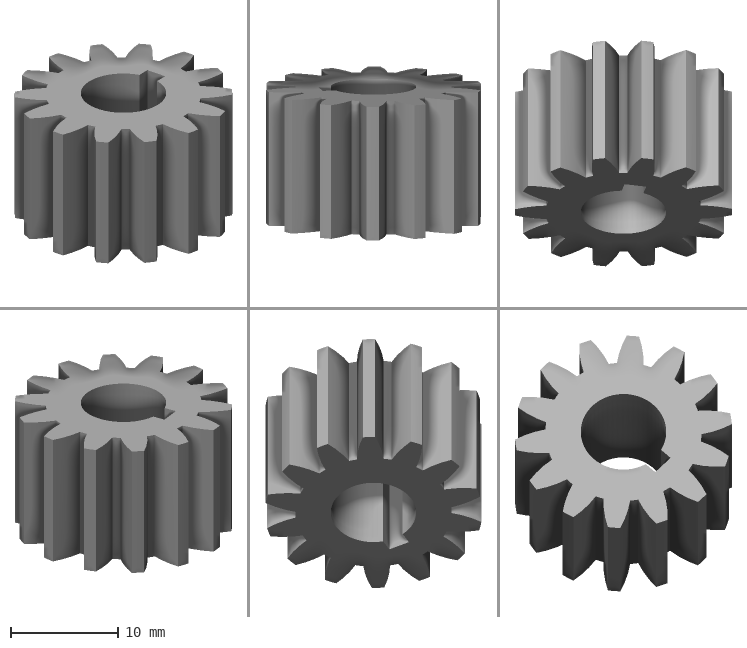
import cadquery as cq
import math

TOOTH_COUNT = 14
TIP_RADIUS = 10.15
ROOT_RADIUS = 7.3
GEAR_HEIGHT = 12.7

ROOT_WIDTH = 2.5
MIDDLE_WIDTH = 2.1
TIP_WIDTH = 1.15
MIDDLE_RADIUS = 8.72

BORE_DIAMETER = 7.99
KEYWAY_WIDTH = 2.07
KEYWAY_TOP = 5.08

TOOTH_PITCH = 2 * math.pi / TOOTH_COUNT


def tooth_point(radius, offset, tooth_angle):
    """Point at a radius, set sideways from the centre line of a tooth."""
    angle = tooth_angle + math.asin(offset / radius)
    return (radius * math.cos(angle), radius * math.sin(angle))


def gear_blank():
    """Toothed body: arc flanks, with tips and gaps on circles about the axis, first tooth on +Y."""
    first_angle = math.pi / 2
    outline = cq.Workplane("XY").moveTo(*tooth_point(ROOT_RADIUS, -ROOT_WIDTH / 2, first_angle))
    for index in range(TOOTH_COUNT):
        angle = first_angle + index * TOOTH_PITCH
        outline = outline.threePointArc(
            tooth_point(MIDDLE_RADIUS, -MIDDLE_WIDTH / 2, angle),
            tooth_point(TIP_RADIUS, -TIP_WIDTH / 2, angle),
        )
        outline = outline.threePointArc(
            tooth_point(TIP_RADIUS, 0, angle),
            tooth_point(TIP_RADIUS, TIP_WIDTH / 2, angle),
        )
        outline = outline.threePointArc(
            tooth_point(MIDDLE_RADIUS, MIDDLE_WIDTH / 2, angle),
            tooth_point(ROOT_RADIUS, ROOT_WIDTH / 2, angle),
        )
        outline = outline.threePointArc(
            tooth_point(ROOT_RADIUS, 0, angle + TOOTH_PITCH / 2),
            tooth_point(ROOT_RADIUS, -ROOT_WIDTH / 2, angle + TOOTH_PITCH),
        )
    return outline.close().extrude(GEAR_HEIGHT)


def keyed_bore():
    """Through bore joined with a rectangular keyway on its +Y side."""
    bore = cq.Workplane("XY").circle(BORE_DIAMETER / 2).extrude(GEAR_HEIGHT)
    keyway = (
        cq.Workplane("XY")
        .rect(KEYWAY_WIDTH, KEYWAY_TOP)
        .extrude(GEAR_HEIGHT)
        .translate((0, KEYWAY_TOP / 2, 0))
    )
    return bore.union(keyway)


result = gear_blank().cut(keyed_bore())